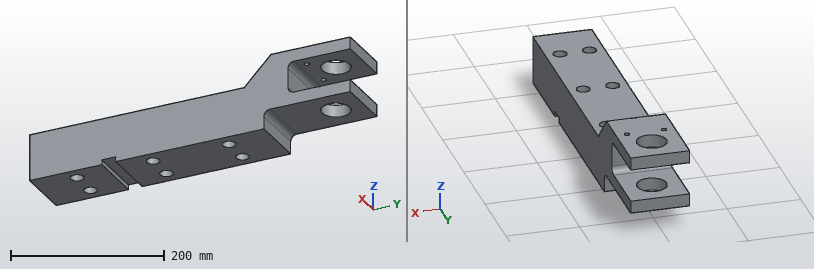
import cadquery as cq

LENGTH = 465.0
WIDTH = 80.0
HEIGHT = 107.0
REAR_Y = LENGTH / 2
FRONT_Y = -LENGTH / 2

FORK_HEIGHT = 80.0
SLOT_HEIGHT = 45.0
SLOT_DEPTH = 90.0
ARM_THICKNESS = (FORK_HEIGHT - SLOT_HEIGHT) / 2
FORK_BOTTOM_Z = HEIGHT - FORK_HEIGHT
STEP_Y = REAR_Y - 125.0
CORNER_RADIUS = 9.0

BAR_HEIGHT = 67.0
RAMP_TOP_Y = REAR_Y - 115.0
RAMP_RUN = 39.0

GROOVE_WIDTH = 20.0
GROOVE_DEPTH = 7.0
GROOVE_CENTER_Y = FRONT_Y + 115.0

PIN_DIAMETER = 40.0
PIN_Y = REAR_Y - 40.0
SMALL_DIAMETER = 7.0
SMALL_SPACING = 50.0
SMALL_Y = REAR_Y - 70.0
BOLT_DIAMETER = 18.0
BOLT_SPACING = 40.0
BOLT_ROWS = 3
BOLT_PITCH = 110.0
FIRST_BOLT_Y = REAR_Y - 185.0


def cross_box(y_min, y_max, z_min, z_max):
    """Box across the full width of the bar."""
    box = cq.Workplane("XY").box(WIDTH, y_max - y_min, z_max - z_min, centered=(True, False, False))
    return box.translate((0, y_min, z_min))


def drill(points, diameter, bottom_z):
    """Vertical cylinders from bottom_z up to the top of the part."""
    plane = cq.Workplane("XY").workplane(offset=bottom_z)
    return plane.pushPoints(points).circle(diameter / 2).extrude(HEIGHT - bottom_z)


def make_body():
    """Side outline of the bar, ramp and fork blank, extruded across X."""
    outline = [
        (FRONT_Y, 0),
        (STEP_Y, 0),
        (STEP_Y, FORK_BOTTOM_Z),
        (REAR_Y, FORK_BOTTOM_Z),
        (REAR_Y, HEIGHT),
        (RAMP_TOP_Y, HEIGHT),
        (RAMP_TOP_Y - RAMP_RUN, BAR_HEIGHT),
        (FRONT_Y, BAR_HEIGHT),
    ]
    body = cq.Workplane("YZ").polyline(outline).close().extrude(WIDTH / 2, both=True)
    step_corner = cq.selectors.NearestToPointSelector((0, STEP_Y, FORK_BOTTOM_Z))
    return body.edges("|X").edges(step_corner).fillet(CORNER_RADIUS)


def make_slot():
    """Open fork slot with rounded inner corners."""
    slot_bottom_z = FORK_BOTTOM_Z + ARM_THICKNESS
    slot = cross_box(REAR_Y - SLOT_DEPTH, REAR_Y, slot_bottom_z, slot_bottom_z + SLOT_HEIGHT)
    return slot.faces("<Y").edges("|X").fillet(CORNER_RADIUS)


groove = cross_box(
    GROOVE_CENTER_Y - GROOVE_WIDTH / 2,
    GROOVE_CENTER_Y + GROOVE_WIDTH / 2,
    0,
    GROOVE_DEPTH,
)

small_points = [(side * SMALL_SPACING / 2, SMALL_Y) for side in (-1, 1)]
bolt_points = [
    (side * BOLT_SPACING / 2, FIRST_BOLT_Y - row * BOLT_PITCH)
    for row in range(BOLT_ROWS)
    for side in (-1, 1)
]

result = (
    make_body()
    .cut(make_slot())
    .cut(groove)
    .cut(drill([(0, PIN_Y)], PIN_DIAMETER, 0))
    .cut(drill(small_points, SMALL_DIAMETER, HEIGHT - ARM_THICKNESS))
    .cut(drill(bolt_points, BOLT_DIAMETER, 0))
)